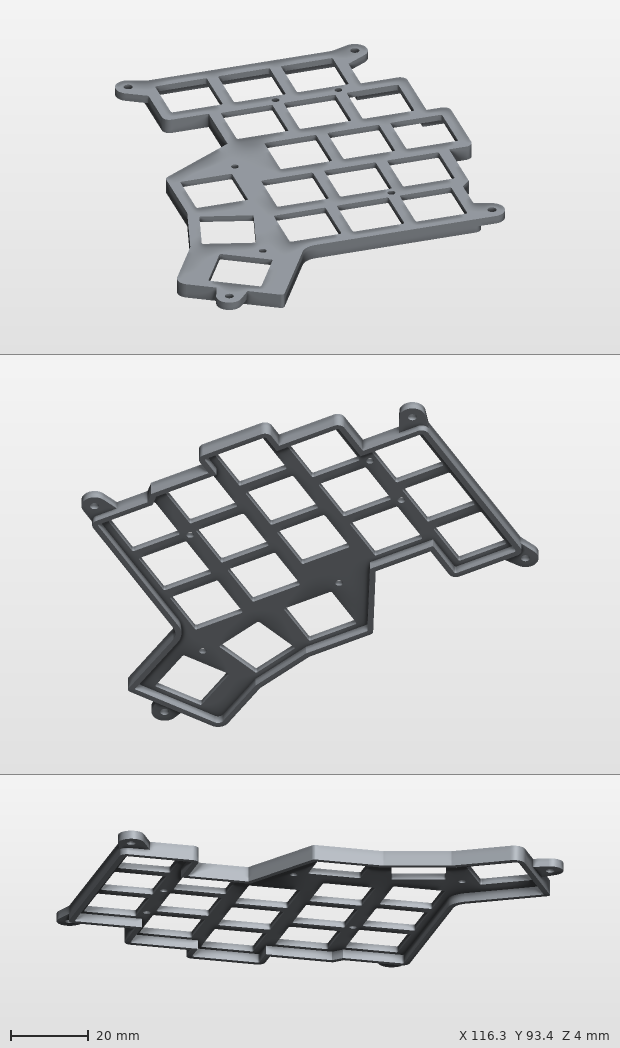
import cadquery as cq
import math

PLATE_HEIGHT = 4.0
LIP_HEIGHT = 1.6
RIM_WIDTH = 1.5
TAB_HEIGHT = 2.2

KEY_CUTOUT = 14.0
KEY_CORNER_RADIUS = 0.5
COLUMN_PITCH = 18.0
ROW_PITCH = 17.0
COLUMN_SHIFTS = [0.0, 12.0, 18.0, 11.4, 9.1]
SIDE_MARGIN = 10.5
END_MARGIN = 10.0

THUMB_KEYS = [(48.4, -25.6, 0), (68.3, -28.3, 15), (89.0, -31.4, 30)]
OUTER_THUMB_TOP = 13.6
OUTER_THUMB_BOTTOM = 15.1
INNER_THUMB_SLOPE = 60

CORNER_RADIUS = 2.0
INNER_THUMB_RADIUS = 1.2
OUTER_THUMB_TOP_RADIUS = 0.9
OUTER_THUMB_BOTTOM_RADIUS = 3.0
NECK_RADIUS = 4.7
STEP_SETBACK = 1.3

TAB_RADIUS = 3.4
TAB_HOLE = 2.3
LEFT_TAB_X = -8.8
LEFT_TAB_Y = 30.6
LEFT_TAB_ROOT_X = -2.9
LEFT_TAB_ROOT_Y = 24.9
RIGHT_TAB_Y = 39.6
RIGHT_TAB_ROOT_X = 74.6
THUMB_TAB_REACH = 13.5
THUMB_TAB_HALF_ROOT = 4.1

SCREW_HOLE = 2.0
THUMB_SCREWS = [(38.2, -16.8), (81.3, -22.9)]


def column_x(column):
    return column * COLUMN_PITCH


def column_top(column):
    return COLUMN_SHIFTS[column] + ROW_PITCH + END_MARGIN


def column_bottom(column):
    return COLUMN_SHIFTS[column] - ROW_PITCH - END_MARGIN


def thumb_point(key, across, up):
    """Plate position of a point given along the turned axes of a thumb key."""
    x, y, turn = key
    c = math.cos(math.radians(turn))
    s = math.sin(math.radians(turn))
    return (x + across * c + up * s, y - across * s + up * c)


def crossing(point_a, angle_a, point_b, angle_b):
    """Crossing of two lines, each given by a point and a direction in degrees."""
    ax, ay = math.cos(math.radians(angle_a)), math.sin(math.radians(angle_a))
    bx, by = math.cos(math.radians(angle_b)), math.sin(math.radians(angle_b))
    dx, dy = point_b[0] - point_a[0], point_b[1] - point_a[1]
    along = (dx * by - dy * bx) / (ax * by - ay * bx)
    return (point_a[0] + along * ax, point_a[1] + along * ay)


def round_corner(body, corner, radius):
    """Fillet the upright edge standing at an outline corner."""
    selector = cq.selectors.NearestToPointSelector((*corner, PLATE_HEIGHT / 2))
    return body.edges("|Z").edges(selector).fillet(radius)


def make_plate():
    inner, middle, outer = THUMB_KEYS
    left = -SIDE_MARGIN
    right = column_x(4) + SIDE_MARGIN
    step_x = column_x(3) + SIDE_MARGIN
    step_drop = column_top(3) - column_top(4)

    outer_top = thumb_point(outer, 0, OUTER_THUMB_TOP)
    outer_bottom = thumb_point(outer, 0, -OUTER_THUMB_BOTTOM)
    middle_bottom = thumb_point(middle, 0, -END_MARGIN)
    inner_bottom = thumb_point(inner, 0, -END_MARGIN)

    neck = crossing((right, 0), 90, outer_top, -outer[2])
    thumb_tip = thumb_point(outer, END_MARGIN, OUTER_THUMB_TOP)
    thumb_foot = thumb_point(outer, END_MARGIN, -OUTER_THUMB_BOTTOM)
    outer_bend = crossing(outer_bottom, -outer[2], middle_bottom, -middle[2])
    inner_bend = crossing(middle_bottom, -middle[2], inner_bottom, 0)
    inner_corner = thumb_point(inner, -END_MARGIN, -END_MARGIN)
    slope_top = crossing(inner_corner, -INNER_THUMB_SLOPE, (0, column_bottom(1)), 0)

    first_top_left = (left, column_top(0))
    second_top_left = (column_x(1) - SIDE_MARGIN, column_top(1))
    third_top_left = (column_x(2) - SIDE_MARGIN, column_top(2))
    third_top_right = (column_x(2) + SIDE_MARGIN, column_top(2))
    last_top_right = (right, column_top(4))
    first_bottom_right = (SIDE_MARGIN, column_bottom(0))
    first_bottom_left = (left, column_bottom(0))

    outline = [
        first_top_left,
        (second_top_left[0], column_top(0)),
        second_top_left,
        (third_top_left[0], column_top(1)),
        third_top_left,
        third_top_right,
        (third_top_right[0], column_top(3)),
        (step_x - STEP_SETBACK, column_top(3)),
        (step_x - STEP_SETBACK + step_drop, column_top(4)),
        last_top_right,
        neck,
        thumb_tip,
        thumb_foot,
        outer_bend,
        inner_bend,
        inner_corner,
        slope_top,
        (SIDE_MARGIN, column_bottom(1)),
        first_bottom_right,
        first_bottom_left,
    ]
    plate = cq.Workplane("XY").polyline(outline).close().extrude(PLATE_HEIGHT)

    for corner in (
        first_top_left,
        second_top_left,
        third_top_left,
        third_top_right,
        last_top_right,
        first_bottom_right,
        first_bottom_left,
    ):
        plate = round_corner(plate, corner, CORNER_RADIUS)
    plate = round_corner(plate, neck, NECK_RADIUS)
    plate = round_corner(plate, thumb_tip, OUTER_THUMB_TOP_RADIUS)
    plate = round_corner(plate, thumb_foot, OUTER_THUMB_BOTTOM_RADIUS)
    return round_corner(plate, inner_corner, INNER_THUMB_RADIUS)


def make_hollow(plate):
    """Space under the lip, a constant wall in from the plate outline."""
    return (
        cq.Workplane("XY")
        .add(plate.faces("<Z").wires().vals())
        .toPending()
        .offset2D(-RIM_WIDTH, "intersection")
        .extrude(PLATE_HEIGHT - LIP_HEIGHT)
    )


def tangent_point(center, point, side):
    """Where a line from a point touches the round end of a tab, on side +1 or -1."""
    dx, dy = point[0] - center[0], point[1] - center[1]
    spread = math.acos(TAB_RADIUS / math.hypot(dx, dy))
    angle = math.atan2(dy, dx) + side * spread
    return (center[0] + TAB_RADIUS * math.cos(angle), center[1] + TAB_RADIUS * math.sin(angle))


def make_tab(center, root_a, root_b, anchor):
    """Round-ended tab; seen from its centre, root_b lies counterclockwise of root_a."""
    touch_a = tangent_point(center, root_a, -1)
    touch_b = tangent_point(center, root_b, 1)
    web = (
        cq.Workplane("XY", origin=(0, 0, PLATE_HEIGHT - TAB_HEIGHT))
        .polyline([center, touch_a, root_a, anchor, root_b, touch_b])
        .close()
        .extrude(TAB_HEIGHT)
    )
    end = (
        cq.Workplane("XY", origin=(*center, PLATE_HEIGHT - TAB_HEIGHT))
        .circle(TAB_RADIUS)
        .extrude(TAB_HEIGHT)
    )
    return web.union(end)


def make_key_cutouts():
    keys = [
        (column_x(column), shift + row * ROW_PITCH, 0)
        for column, shift in enumerate(COLUMN_SHIFTS)
        for row in (-1, 0, 1)
    ]
    cutout_at_origin = (
        cq.Workplane("XY")
        .rect(KEY_CUTOUT, KEY_CUTOUT)
        .extrude(PLATE_HEIGHT)
        .edges("|Z")
        .fillet(KEY_CORNER_RADIUS)
    )
    cutouts = cq.Workplane("XY")
    for x, y, turn in keys + THUMB_KEYS:
        cutout = cutout_at_origin.rotate((0, 0, 0), (0, 0, 1), -turn)
        cutouts = cutouts.add(cutout.translate((x, y, 0)))
    return cutouts.combine()


def make_holes(centers, diameter):
    return cq.Workplane("XY").pushPoints(centers).circle(diameter / 2).extrude(PLATE_HEIGHT)


plate_left = -SIDE_MARGIN
plate_right = column_x(4) + SIDE_MARGIN
outer_thumb = THUMB_KEYS[-1]

top_left_tab = (LEFT_TAB_X, LEFT_TAB_Y)
bottom_left_tab = (LEFT_TAB_X, -LEFT_TAB_Y)
right_tab = (plate_right - TAB_RADIUS, RIGHT_TAB_Y)
thumb_tab = thumb_point(outer_thumb, THUMB_TAB_REACH, 0)
tab_centers = [top_left_tab, bottom_left_tab, right_tab, thumb_tab]

left_anchor_x = plate_left + CORNER_RADIUS
right_root_y = column_top(4) - CORNER_RADIUS

tabs = [
    make_tab(
        top_left_tab,
        (plate_left, LEFT_TAB_ROOT_Y),
        (LEFT_TAB_ROOT_X, column_top(0)),
        (left_anchor_x, LEFT_TAB_ROOT_Y),
    ),
    make_tab(
        bottom_left_tab,
        (LEFT_TAB_ROOT_X, column_bottom(0)),
        (plate_left, -LEFT_TAB_ROOT_Y),
        (left_anchor_x, -LEFT_TAB_ROOT_Y),
    ),
    make_tab(
        right_tab,
        (RIGHT_TAB_ROOT_X, column_top(4)),
        (plate_right, right_root_y),
        (plate_right - CORNER_RADIUS, right_root_y),
    ),
    make_tab(
        thumb_tab,
        thumb_point(outer_thumb, END_MARGIN, THUMB_TAB_HALF_ROOT),
        thumb_point(outer_thumb, END_MARGIN, -THUMB_TAB_HALF_ROOT),
        thumb_point(outer_thumb, END_MARGIN - CORNER_RADIUS, 0),
    ),
]

half_row = ROW_PITCH / 2
screw_centers = [
    (column_x(0.5), COLUMN_SHIFTS[1] + half_row),
    (column_x(0.5), COLUMN_SHIFTS[1] - half_row),
    (column_x(3.5), COLUMN_SHIFTS[4] + half_row),
] + THUMB_SCREWS

plate = make_plate()
result = plate
for tab in tabs:
    result = result.union(tab)
result = result.cut(make_hollow(plate))
result = result.cut(make_key_cutouts())
result = result.cut(make_holes(tab_centers, TAB_HOLE))
result = result.cut(make_holes(screw_centers, SCREW_HOLE))
result = result.solids()